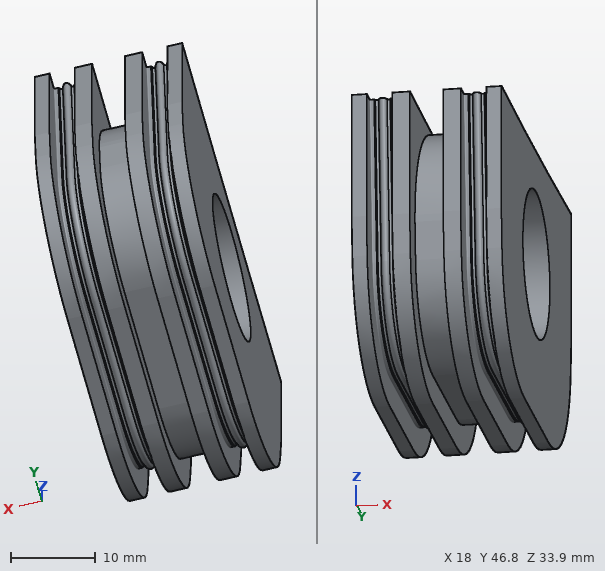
import cadquery as cq
import math

quarter_turn = math.pi / 2
eighth_turn = math.pi / 4

thickness = 18.0
width = 46.75
height = 33.9
half_width = width / 2

bore_diameter = 18.0
axis_to_top_corner = 14.35
top_z = axis_to_top_corner
bottom_z = top_z - height

upright_length = 15.37
taper_angle = math.radians(5)
corner_radius = 15.0
top_sag = 0.3
top_edge_fillet = 0.3

taper_start_z = top_z - upright_length
corner_center_z = bottom_z + corner_radius
taper_end_z = corner_center_z - corner_radius * math.sin(taper_angle)
taper_inset = (taper_start_z - taper_end_z) * math.tan(taper_angle)
corner_center_y = half_width - taper_inset - corner_radius * math.cos(taper_angle)

channel_depth = 3.5
center_slot_width = 4.0
land_width = 2.1
groove_width = 3.1
groove_offset = center_slot_width / 2 + land_width + groove_width / 2

core_half_width = half_width - channel_depth
core_top_radius = 14.05
core_top_half_width = core_half_width - core_top_radius

root_radius = 0.15
lip_outer_edge = 1.05
lip_depth = 0.1
flute_outer_edge = 0.9
flute_inner_edge = 0.5
flute_depth = 0.3
bead_half_width = 0.37
bead_edge_height = 0.15
bead_height = 0.37

overcut = 4.65


def corner_point(radius, angle):
    """Point (y, z) on the +Y bottom corner; the angle is measured down from horizontal."""
    return (
        corner_center_y + radius * math.cos(angle),
        corner_center_z - radius * math.sin(angle),
    )


def taper_point(inset, z):
    """Point (y, z) on the +Y tapered line moved inward by inset."""
    y, end_z = corner_point(corner_radius - inset, taper_angle)
    return (y + (z - end_z) * math.tan(taper_angle), z)


def mirrored(point):
    return (-point[0], point[1])


def add_lower_outline(sketch, inset):
    """Continue from the +Y taper, round both bottom corners, up to the end of the -Y taper."""
    radius = corner_radius - inset
    taper_end = corner_point(radius, taper_angle)
    middle = corner_point(radius, (taper_angle + quarter_turn) / 2)
    bottom = corner_point(radius, quarter_turn)
    return (
        sketch.lineTo(*taper_end)
        .threePointArc(middle, bottom)
        .lineTo(*mirrored(bottom))
        .threePointArc(mirrored(middle), mirrored(taper_end))
    )


def extrude_centered(outline, length):
    return outline.close().extrude(length / 2, both=True)


def make_block():
    outline = cq.Workplane("YZ").moveTo(half_width, top_z).lineTo(half_width, taper_start_z)
    outline = (
        add_lower_outline(outline, 0)
        .lineTo(-half_width, taper_start_z)
        .lineTo(-half_width, top_z)
        .threePointArc((0, top_z - top_sag), (half_width, top_z))
    )
    block = extrude_centered(outline, thickness)
    top_corners = cq.selectors.BoxSelector(
        (-thickness, -width, top_z - top_edge_fillet), (thickness, width, top_z + top_edge_fillet)
    )
    return block.edges("|X").edges(top_corners).fillet(top_edge_fillet)


def make_core():
    """Body that remains inside the centre slot, reaching up past the top face."""
    core_taper_z = taper_start_z + channel_depth * math.tan(taper_angle / 2)
    side_top = (core_half_width, 0)
    shoulder_middle = (
        core_top_half_width + core_top_radius * math.cos(eighth_turn),
        core_top_radius * math.sin(eighth_turn),
    )
    shoulder_top = (core_top_half_width, core_top_radius)
    outline = (
        cq.Workplane("YZ")
        .moveTo(core_top_half_width, top_z + overcut)
        .lineTo(*shoulder_top)
        .threePointArc(shoulder_middle, side_top)
        .lineTo(core_half_width, core_taper_z)
    )
    outline = (
        add_lower_outline(outline, channel_depth)
        .lineTo(-core_half_width, core_taper_z)
        .lineTo(*mirrored(side_top))
        .threePointArc(mirrored(shoulder_middle), mirrored(shoulder_top))
        .lineTo(-core_top_half_width, top_z + overcut)
    )
    return extrude_centered(outline, center_slot_width)


def make_center_slot():
    slot = cq.Workplane("XY").box(center_slot_width, width + 2 * overcut, height + 2 * overcut)
    slot = slot.translate((0, 0, (top_z + bottom_z) / 2))
    return slot.cut(make_core())


def make_rim_groove():
    """Groove following the tapers and the bottom, with its ribbed section swept along the floor."""
    start = taper_point(channel_depth, top_z + overcut)
    path = add_lower_outline(cq.Workplane("YZ").moveTo(*start), channel_depth)
    path = path.lineTo(*mirrored(start))

    outward = (0, math.cos(taper_angle), -math.sin(taper_angle))
    downward = (0, -math.sin(taper_angle), -math.cos(taper_angle))
    section_plane = cq.Plane(origin=(0, *start), xDir=outward, normal=downward)
    flute_middle = (flute_outer_edge + flute_inner_edge) / 2
    wall = groove_width / 2
    reach = channel_depth + overcut
    root_start = wall - root_radius
    root_middle = (
        root_radius * (1 - math.cos(eighth_turn)),
        root_start + root_radius * math.sin(eighth_turn),
    )
    section = (
        cq.Workplane(section_plane)
        .moveTo(reach, -wall)
        .lineTo(root_radius, -wall)
        .threePointArc((root_middle[0], -root_middle[1]), (0, -root_start))
        .lineTo(0, -lip_outer_edge)
        .lineTo(-lip_depth, -flute_outer_edge)
        .threePointArc((-flute_depth, -flute_middle), (-lip_depth, -flute_inner_edge))
        .lineTo(bead_edge_height, -bead_half_width)
        .threePointArc((bead_height, 0), (bead_edge_height, bead_half_width))
        .lineTo(-lip_depth, flute_inner_edge)
        .threePointArc((-flute_depth, flute_middle), (-lip_depth, flute_outer_edge))
        .lineTo(0, lip_outer_edge)
        .lineTo(0, root_start)
        .threePointArc(root_middle, (root_radius, wall))
        .lineTo(reach, wall)
        .close()
    )
    return section.sweep(path)


bore = cq.Workplane("YZ").circle(bore_diameter / 2).extrude(thickness, both=True)
rim_groove = make_rim_groove()

result = make_block().cut(bore).cut(make_center_slot())
for side in (-1, 1):
    result = result.cut(rim_groove.translate((side * groove_offset, 0, 0)))